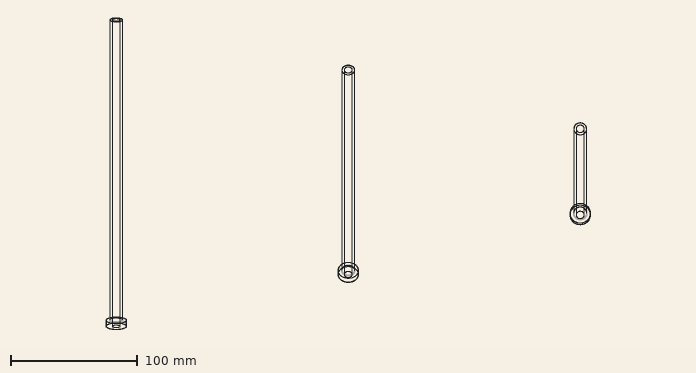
import cadquery as cq

total_length = 255.0
head_diameter = 16.0
head_height = 5.0
tube_diameter = 10.0
bore_diameter = 6.0
root_fillet_radius = 0.5

tube_radius = tube_diameter / 2
fillet_outer_radius = tube_radius + root_fillet_radius
fillet_top = head_height + root_fillet_radius

half_profile = (
    cq.Workplane("XZ")
    .moveTo(bore_diameter / 2, 0)
    .lineTo(head_diameter / 2, 0)
    .lineTo(head_diameter / 2, head_height)
    .lineTo(fillet_outer_radius, head_height)
    .radiusArc((tube_radius, fillet_top), root_fillet_radius)
    .lineTo(tube_radius, total_length)
    .lineTo(bore_diameter / 2, total_length)
    .close()
)

result = half_profile.revolve(360, (0, 0, 0), (0, 1, 0))